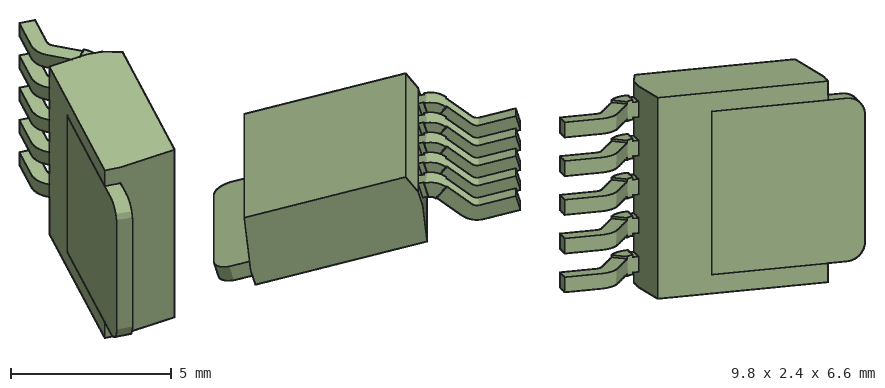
import cadquery as cq
import math

overall_length = 9.8

housing_height = 6.6
housing_depth = 2.4
housing_left_x = 2.8
housing_left_taper = 0.23
housing_right_x = 8.59
housing_right_taper = 0.33

sheet_thickness = 0.52

tab_left_x = 4.8
tab_height = 5.35
tab_corner_radius = 0.6

lead_count = 5
lead_span = 5.08
lead_pitch = lead_span / (lead_count - 1)
lead_width = 0.5
shoulder_width = 0.65
lead_rise = 1.27
upper_bend_x = 2.62
bend_angle = math.radians(55)
bend_inner_radius = sheet_thickness / 2
bend_outer_radius = bend_inner_radius + sheet_thickness

neck_bottom_y = lead_rise
neck_top_y = lead_rise + sheet_thickness

upper_bend_center = (upper_bend_x, neck_bottom_y - bend_inner_radius)
radius_sum = bend_inner_radius + bend_outer_radius
bends_rise = radius_sum * (1 - math.cos(bend_angle))
leg_length = (lead_rise - bends_rise) / math.sin(bend_angle)
lead_run = radius_sum * math.sin(bend_angle) + leg_length * math.cos(bend_angle)
lower_bend_center = (upper_bend_x - lead_run, bend_outer_radius)


def point_on_upper_bend(radius, angle):
    """Point at an angle turned back from the neck, around the upper bend."""
    center_x, center_y = upper_bend_center
    return (center_x - radius * math.sin(angle), center_y + radius * math.cos(angle))


def point_on_lower_bend(radius, angle):
    """Point at an angle turned on from the foot, around the lower bend."""
    center_x, center_y = lower_bend_center
    return (center_x + radius * math.sin(angle), center_y - radius * math.cos(angle))


def extrude_about(outline, height, middle_z=0):
    """Extrude a closed XY outline by a height that is centred on middle_z."""
    return outline.extrude(height / 2, both=True).translate((0, 0, middle_z))


def make_tab():
    plate = (
        cq.Workplane("XY")
        .moveTo(tab_left_x, 0)
        .lineTo(overall_length, 0)
        .lineTo(overall_length, sheet_thickness)
        .lineTo(tab_left_x, sheet_thickness)
        .close()
    )
    return extrude_about(plate, tab_height).edges("|Y and >X").fillet(tab_corner_radius)


def make_housing(tab):
    profile = (
        cq.Workplane("XY")
        .moveTo(housing_left_x + housing_left_taper, 0)
        .lineTo(housing_right_x, 0)
        .lineTo(housing_right_x, sheet_thickness)
        .lineTo(housing_right_x - housing_right_taper, housing_depth)
        .lineTo(housing_left_x + housing_left_taper, housing_depth)
        .lineTo(housing_left_x, neck_top_y)
        .lineTo(housing_left_x, neck_bottom_y)
        .close()
    )
    return extrude_about(profile, housing_height).cut(tab)


def make_lead(middle_z):
    half_angle = bend_angle / 2

    foot_and_leg = (
        cq.Workplane("XY")
        .moveTo(0, 0)
        .lineTo(*point_on_lower_bend(bend_outer_radius, 0))
        .threePointArc(
            point_on_lower_bend(bend_outer_radius, half_angle),
            point_on_lower_bend(bend_outer_radius, bend_angle),
        )
        .lineTo(*point_on_upper_bend(bend_inner_radius, bend_angle))
        .lineTo(*point_on_upper_bend(bend_outer_radius, bend_angle))
        .lineTo(*point_on_lower_bend(bend_inner_radius, bend_angle))
        .threePointArc(
            point_on_lower_bend(bend_inner_radius, half_angle),
            point_on_lower_bend(bend_inner_radius, 0),
        )
        .lineTo(0, sheet_thickness)
        .close()
    )
    shoulder = (
        cq.Workplane("XY")
        .moveTo(*point_on_upper_bend(bend_inner_radius, bend_angle))
        .threePointArc(
            point_on_upper_bend(bend_inner_radius, half_angle),
            point_on_upper_bend(bend_inner_radius, 0),
        )
        .lineTo(*point_on_upper_bend(bend_outer_radius, 0))
        .threePointArc(
            point_on_upper_bend(bend_outer_radius, half_angle),
            point_on_upper_bend(bend_outer_radius, bend_angle),
        )
        .close()
    )
    neck = (
        cq.Workplane("XY")
        .moveTo(upper_bend_x, neck_bottom_y)
        .lineTo(housing_left_x, neck_bottom_y)
        .lineTo(housing_left_x, neck_top_y)
        .lineTo(upper_bend_x, neck_top_y)
        .close()
    )
    return (
        extrude_about(foot_and_leg, lead_width, middle_z)
        .union(extrude_about(shoulder, shoulder_width, middle_z))
        .union(extrude_about(neck, lead_width, middle_z))
    )


tab = make_tab()
housing = make_housing(tab)

leads = []
for index in range(lead_count):
    lead_z = (index - (lead_count - 1) / 2) * lead_pitch
    leads.append(make_lead(lead_z))

bodies = [housing, tab, *leads]
result = cq.Compound.makeCompound([body.solids().val() for body in bodies])